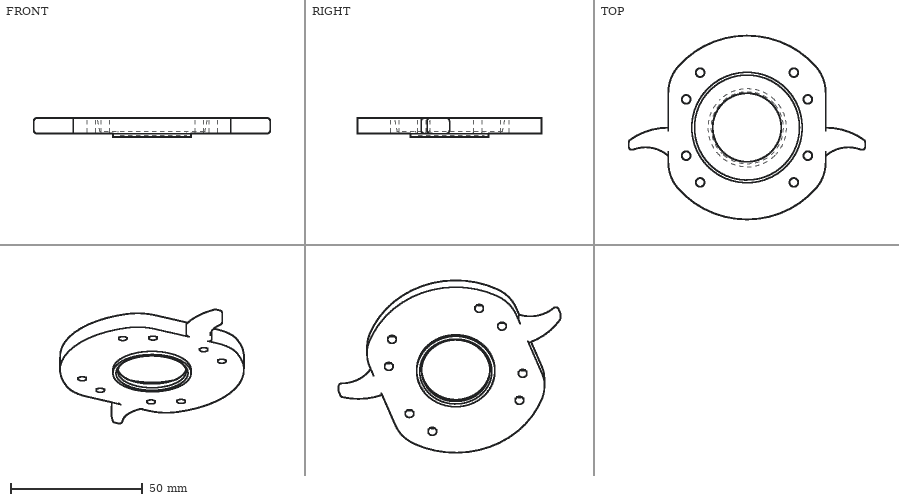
import cadquery as cq
import math

plate_radius = 35.0
half_width = 30.0
corner_radius = 15.0
plate_thickness = 6.0

recess_top_diameter = 42.0
recess_floor_diameter = 40.0
recess_depth = 5.0
bore_diameter = 26.0
bore_chamfer = 0.7
collar_diameter = 29.8
collar_height = 1.35

hole_diameter = 3.2
hole_positions = [(17.8, 20.9), (23.1, 10.7)]

arm_tip_x = 45
arm_root_x = 27
arm_fillet = 1.3
arm_top_tip_y = -5.0
arm_bottom_tip_y = -9.3
arm_bottom_root_y = -10.8
arm_bottom_crest = (38.9, -7.6)


def make_plate():
    center_x = half_width - corner_radius
    center_distance = plate_radius - corner_radius
    center_y = math.sqrt(center_distance**2 - center_x**2)
    tangent_x = center_x * plate_radius / center_distance
    tangent_y = center_y * plate_radius / center_distance
    mid_angle = math.atan2(center_y, center_x) / 2
    mid_x = center_x + corner_radius * math.cos(mid_angle)
    mid_y = center_y + corner_radius * math.sin(mid_angle)
    return (
        cq.Workplane("XY")
        .moveTo(half_width, -center_y)
        .lineTo(half_width, center_y)
        .threePointArc((mid_x, mid_y), (tangent_x, tangent_y))
        .threePointArc((0, plate_radius), (-tangent_x, tangent_y))
        .threePointArc((-mid_x, mid_y), (-half_width, center_y))
        .lineTo(-half_width, -center_y)
        .threePointArc((-mid_x, -mid_y), (-tangent_x, -tangent_y))
        .threePointArc((0, -plate_radius), (tangent_x, -tangent_y))
        .threePointArc((mid_x, -mid_y), (half_width, -center_y))
        .close()
        .extrude(plate_thickness)
    )


def make_arm():
    return (
        cq.Workplane("XY")
        .moveTo(arm_root_x, 0)
        .lineTo(half_width, 0)
        .tangentArcPoint((arm_tip_x, arm_top_tip_y), relative=False)
        .lineTo(arm_tip_x, arm_bottom_tip_y)
        .threePointArc(arm_bottom_crest, (half_width, arm_bottom_root_y))
        .lineTo(arm_root_x, arm_bottom_root_y)
        .close()
        .extrude(plate_thickness)
        .edges(cq.selectors.BoxSelector(
            (half_width + arm_fillet, -plate_radius, -0.9),
            (arm_tip_x + 0.9, plate_radius, plate_thickness + 0.9),
        ))
        .fillet(arm_fillet)
    )


def make_collar():
    return cq.Workplane("XY").circle(collar_diameter / 2).extrude(-collar_height)


def make_recess():
    return (
        cq.Workplane("XY", origin=(0, 0, plate_thickness - recess_depth))
        .circle(recess_floor_diameter / 2)
        .workplane(offset=recess_depth)
        .circle(recess_top_diameter / 2)
        .loft(ruled=True)
    )


def make_bore():
    bore = (
        cq.Workplane("XY", origin=(0, 0, -collar_height))
        .circle(bore_diameter / 2)
        .extrude(collar_height + plate_thickness)
    )
    flare = (
        cq.Workplane("XY", origin=(0, 0, -collar_height))
        .circle(bore_diameter / 2 + bore_chamfer)
        .workplane(offset=bore_chamfer)
        .circle(bore_diameter / 2)
        .loft(ruled=True)
    )
    return bore.union(flare)


def make_screw_holes():
    points = [
        (side_x * x, side_y * y)
        for x, y in hole_positions
        for side_x in (-1, 1)
        for side_y in (-1, 1)
    ]
    return cq.Workplane("XY").pushPoints(points).circle(hole_diameter / 2).extrude(plate_thickness)


arm = make_arm()
body = make_plate().union(arm).union(arm.mirror("YZ")).union(make_collar())
result = body.cut(make_recess()).cut(make_bore()).cut(make_screw_holes())